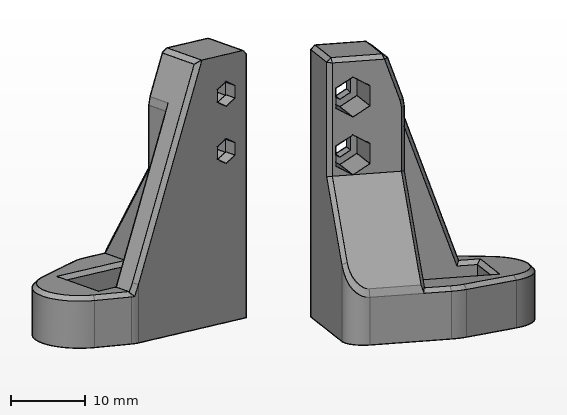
import cadquery as cq
import math

WIDTH = 17.35
DEPTH = 28.7
HEIGHT = 37.52

BASE_HEIGHT = 7.2
NOSE_RADIUS = 6.38
NOSE_X = 9.35
SHOULDER_Y = 14.25
RIGHT_SHOULDER_RADIUS = 3.0
BACK_CORNER_RADIUS = 3.0

BLOCK_LEFT_X = 9.35
BLOCK_FRONT_Y = 17.82
SKIRT_TOP_Z = 21.27

RIB_FOOT_Y = DEPTH - 19.65
RIB_TOP_Y = DEPTH - 8.33

OPENING_LEFT_X = 5.55
OPENING_RIGHT_X = 13.2
OPENING_FRONT_Y = 6.6

EDGE_CHAMFER = 0.6

SCREW_Y = DEPTH - 3.5
SCREW_HEIGHTS = (24.0, 32.0)
NUT_SIZE = 5.5
NUT_POCKET_DEPTH = 6.0
SCREW_SIZE = 3.5
HEX_SIDES = 6

TOLERANCE = 0.005


def base_outline():
    """Plan outline: every arc is tangent to its neighbours, and both flanks lean at the same angle."""
    flank_angle = math.atan2(NOSE_X - NOSE_RADIUS, SHOULDER_Y - NOSE_RADIUS)
    across = NOSE_RADIUS * math.cos(flank_angle)
    along = NOSE_RADIUS * math.sin(flank_angle)
    nose_left = (NOSE_X - across, NOSE_RADIUS - along)
    nose_right = (NOSE_X + across, NOSE_RADIUS - along)

    def shoulder_point(radius, end_y, angle):
        """Distance in from the side, and Y, after turning by angle from the rear end of a shoulder arc."""
        return radius * (1 - math.cos(angle)), end_y - radius * math.sin(angle)

    def left_shoulder(angle):
        return shoulder_point(NOSE_RADIUS, SHOULDER_Y, angle)

    flank_end_y = nose_right[1] + (WIDTH - nose_right[0]) / math.tan(flank_angle)
    right_shoulder_y = flank_end_y + RIGHT_SHOULDER_RADIUS * math.tan(flank_angle / 2)

    def right_shoulder(angle):
        inset, y = shoulder_point(RIGHT_SHOULDER_RADIUS, right_shoulder_y, angle)
        return WIDTH - inset, y

    corner_inset = BACK_CORNER_RADIUS * (1 - math.sqrt(0.5))

    return (
        cq.Workplane("XY")
        .moveTo(0, SHOULDER_Y)
        .threePointArc(left_shoulder(flank_angle / 2), left_shoulder(flank_angle))
        .lineTo(*nose_left)
        .threePointArc((NOSE_X, 0), nose_right)
        .lineTo(*right_shoulder(flank_angle))
        .threePointArc(right_shoulder(flank_angle / 2), (WIDTH, right_shoulder_y))
        .lineTo(WIDTH, DEPTH)
        .lineTo(BACK_CORNER_RADIUS, DEPTH)
        .threePointArc((corner_inset, DEPTH - corner_inset), (0, DEPTH - BACK_CORNER_RADIUS))
        .close()
    )


def box_between(low, high):
    size = [b - a for a, b in zip(low, high)]
    return cq.Workplane("XY").box(*size, centered=False).translate(low)


def base_plate():
    """Plate with its rectangular opening, both chamfered along the top."""
    opening = box_between(
        (OPENING_LEFT_X, OPENING_FRONT_Y, 0),
        (OPENING_RIGHT_X, BLOCK_FRONT_Y, BASE_HEIGHT),
    )
    plate = base_outline().extrude(BASE_HEIGHT)
    return plate.cut(opening).faces(">Z").edges().chamfer(EDGE_CHAMFER)


def sharp_upright():
    """Block, skirt and rib, carried down to the underside, before edge breaking."""
    front_profile = (
        cq.Workplane("XZ")
        .polyline([
            (0, 0),
            (WIDTH, 0),
            (WIDTH, HEIGHT),
            (BLOCK_LEFT_X, HEIGHT),
            (BLOCK_LEFT_X, SKIRT_TOP_Z),
            (0, BASE_HEIGHT),
        ])
        .close()
        .extrude(-DEPTH)
    )
    rib_lean = (RIB_TOP_Y - RIB_FOOT_Y) / (HEIGHT - BASE_HEIGHT)
    side_profile = (
        cq.Workplane("YZ")
        .polyline([
            (RIB_FOOT_Y - rib_lean * BASE_HEIGHT, 0),
            (DEPTH, 0),
            (DEPTH, HEIGHT),
            (RIB_TOP_Y, HEIGHT),
        ])
        .close()
        .extrude(WIDTH)
    )
    beside_rib = box_between((0, 0, 0), (OPENING_RIGHT_X, BLOCK_FRONT_Y, HEIGHT))
    solid = base_outline().extrude(HEIGHT).intersect(front_profile).intersect(side_profile)
    return solid.cut(beside_rib)


def is_broken(edge):
    """True for the upright's chamfered edges."""
    bounds = edge.BoundingBox()
    reaches_underside = bounds.zmin < TOLERANCE
    vertical = max(bounds.xlen, bounds.ylen) < TOLERANCE
    level = bounds.zlen < TOLERANCE
    skirt_crease = level and abs(bounds.zmax - SKIRT_TOP_Z) < TOLERANCE
    right_top_edge = level and bounds.xmin > WIDTH - TOLERANCE
    buried = reaches_underside and (vertical or level)
    return not (buried or skirt_crease or right_top_edge)


def screw_cutter(z):
    """Hexagonal nut pocket from the left face of the block, with a hexagonal screw hole right through."""
    def hexagon_bar(size, length):
        return (
            cq.Workplane("YZ", origin=(BLOCK_LEFT_X, SCREW_Y, z))
            .transformed(rotate=(0, 0, 90))
            .polygon(HEX_SIDES, size)
            .extrude(length)
        )

    return hexagon_bar(NUT_SIZE, NUT_POCKET_DEPTH).union(hexagon_bar(SCREW_SIZE, WIDTH - BLOCK_LEFT_X))


upright = sharp_upright().edges().filter(is_broken).chamfer(EDGE_CHAMFER)
result = base_plate().union(upright)
for screw_height in SCREW_HEIGHTS:
    result = result.cut(screw_cutter(screw_height))